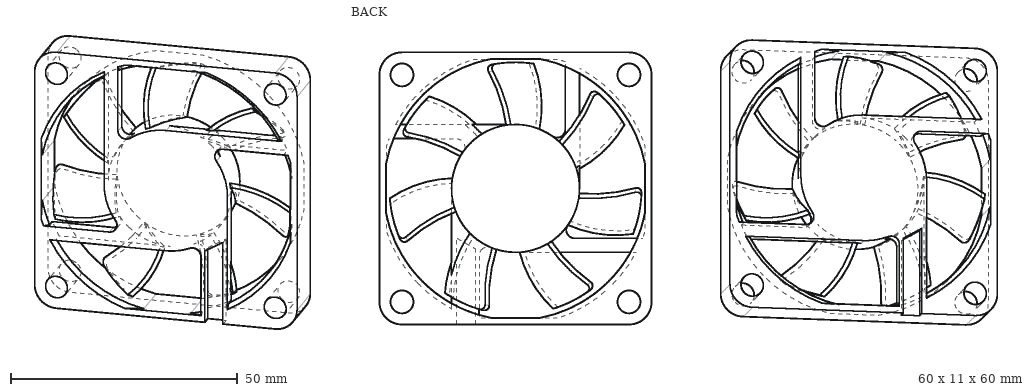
import cadquery as cq
import math

FRAME_SIZE = 60.0
FRAME_DEPTH = 11.0
CORNER_RADIUS = 5.0
HOLE_DIAMETER = 5.0
HOLE_SPACING = 50.0
FRONT_Y = -FRAME_DEPTH / 2

BORE_RADIUS = 29.0
BORE_CHAMFER = 1.0
WALL_THICKNESS = 1.5
OPENING_WIDTH = FRAME_SIZE - 2 * WALL_THICKNESS

HUB_RADIUS = 14.1
HUB_DEPTH = 10.3
STRUT_DEPTH = 3.2
STRUT_WIDTH = 3.15
CABLE_STRUT_WIDTH = 6.1
STRUT_REACH = BORE_RADIUS
STRUT_FILLET = 1.8
CABLE_STRUT_ANGLE = 180

CHANNEL_LEFT = 8.9
CHANNEL_RIGHT = 13.0
CHANNEL_TOP = -10.9
CHANNEL_END_ANGLE = 30.0
CHANNEL_DEPTH = 2.5

BLADE_COUNT = 7
BLADE_DEPTH = 7.5
BLADE_TIP_RADIUS = 27.8
BLADE_TIP_FILLET = 1.4
BLADE_WIDTH = 1.05
BLADE_SETBACK = 2.5
BLADE_FRONT_Y = FRONT_Y + BLADE_SETBACK
BLADE_BACK_Y = BLADE_FRONT_Y + BLADE_DEPTH
LEADING_EDGE = [(-4.8, 11.0), (-5.8, 18.5), (-3.4, 29.0)]
TRAILING_EDGE = [(1.8, 11.0), (3.3, 19.4), (8.0, 29.0)]


def xz_plane(y):
    """Sketch plane at the given Y, with local axes X and Z."""
    return cq.Workplane("XZ", origin=(0, y, 0))


def turned(body, angle):
    """Turn a body about the fan axis, counter-clockwise as seen from the front."""
    return body.rotate((0, 0, 0), (0, -1, 0), angle)


def make_opening():
    bore = xz_plane(FRONT_Y).circle(BORE_RADIUS).extrude(-FRAME_DEPTH)
    flare = (
        xz_plane(FRONT_Y)
        .circle(BORE_RADIUS + BORE_CHAMFER)
        .workplane(offset=-BORE_CHAMFER)
        .circle(BORE_RADIUS)
        .loft(ruled=True)
    )
    flats = cq.Workplane("XY").box(OPENING_WIDTH, FRAME_DEPTH, OPENING_WIDTH)
    return bore.union(flare).intersect(flats)


def make_frame():
    frame = cq.Workplane("XY").box(FRAME_SIZE, FRAME_DEPTH, FRAME_SIZE)
    frame = frame.edges("|Y").fillet(CORNER_RADIUS)
    holes = (
        xz_plane(FRONT_Y)
        .rect(HOLE_SPACING, HOLE_SPACING, forConstruction=True)
        .vertices()
        .circle(HOLE_DIAMETER / 2)
        .extrude(-FRAME_DEPTH)
    )
    return frame.cut(holes).cut(make_opening())


def make_strut(width):
    """Upward strut on a hub disc, its inner side blended into the disc."""
    disc = xz_plane(FRONT_Y).circle(HUB_RADIUS).extrude(-STRUT_DEPTH)
    bar = (
        xz_plane(FRONT_Y)
        .moveTo(-HUB_RADIUS, 0)
        .rect(width, STRUT_REACH, centered=False)
        .extrude(-STRUT_DEPTH)
    )
    inner_x = width - HUB_RADIUS
    inner_z = math.sqrt(HUB_RADIUS**2 - inner_x**2)
    inner_corner = (inner_x, FRONT_Y + STRUT_DEPTH / 2, inner_z)
    return (
        disc.union(bar)
        .edges("|Y")
        .edges(cq.selectors.NearestToPointSelector(inner_corner))
        .fillet(STRUT_FILLET)
    )


def make_channel():
    end_drop = (CHANNEL_RIGHT - CHANNEL_LEFT) * math.tan(math.radians(CHANNEL_END_ANGLE))
    return (
        xz_plane(FRONT_Y)
        .moveTo(CHANNEL_LEFT, -FRAME_SIZE / 2)
        .lineTo(CHANNEL_RIGHT, -FRAME_SIZE / 2)
        .lineTo(CHANNEL_RIGHT, CHANNEL_TOP)
        .lineTo(CHANNEL_LEFT, CHANNEL_TOP - end_drop)
        .close()
        .extrude(-CHANNEL_DEPTH)
    )


def blade_edge_strip(y, edge, width):
    """Curved strip at the given Y, reaching from the edge by a signed width along X."""
    root, middle, tip = edge
    far_root, far_middle, far_tip = [(x + width, z) for x, z in edge]
    return (
        xz_plane(y)
        .moveTo(*root)
        .threePointArc(middle, tip)
        .lineTo(*far_tip)
        .threePointArc(far_middle, far_root)
        .close()
        .wires()
        .val()
    )


def make_blade():
    """Topmost blade, ruled between its front strip and its back strip."""
    back_edge = [(x - BLADE_WIDTH, z) for x, z in TRAILING_EDGE]
    front = blade_edge_strip(BLADE_FRONT_Y, LEADING_EDGE, BLADE_WIDTH)
    back = blade_edge_strip(BLADE_BACK_Y, back_edge, BLADE_WIDTH)
    blade = cq.Workplane(cq.Solid.makeLoft([front, back], True))
    tip_envelope = (
        xz_plane(BLADE_FRONT_Y)
        .circle(BLADE_TIP_RADIUS)
        .extrude(-BLADE_DEPTH)
        .edges(">Y")
        .fillet(BLADE_TIP_FILLET)
    )
    return blade.intersect(tip_envelope)


hub = xz_plane(FRONT_Y).circle(HUB_RADIUS).extrude(-HUB_DEPTH)
result = make_frame().union(hub)

for strut_angle in range(0, 360, 90):
    strut_width = CABLE_STRUT_WIDTH if strut_angle == CABLE_STRUT_ANGLE else STRUT_WIDTH
    result = result.union(turned(make_strut(strut_width), strut_angle))

result = result.cut(make_channel())

top_blade = make_blade()
for blade_index in range(BLADE_COUNT):
    result = result.union(turned(top_blade, blade_index * 360 / BLADE_COUNT))